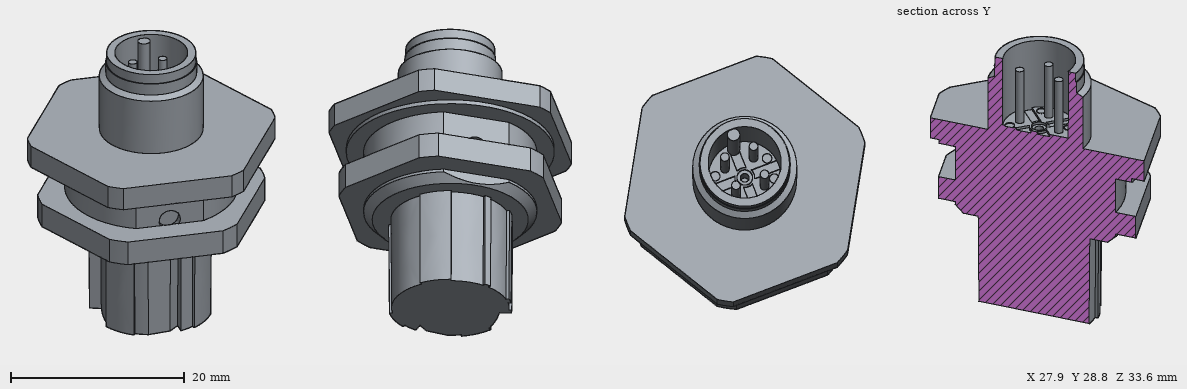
import cadquery as cq
import math


INSERT_LENGTH = 11.5
BODY_CHAMFER = 1.0
NUT_BOTTOM = 12.85
NUT_HEIGHT = 3.0
FLANGE_BOTTOM = 20.8
FLANGE_HEIGHT = 2.8
COLLAR_HEIGHT = 0.5
FLANGE_TOP = FLANGE_BOTTOM + FLANGE_HEIGHT
TOWER_HEIGHT = 10.0
TOP = FLANGE_TOP + TOWER_HEIGHT

KEY_ANGLE = 130.2
HEX_FLAT_ANGLE = KEY_ANGLE

HEX_SIDES = 6
HEX_CORNER_STEP = 360 / HEX_SIDES
FLANGE_ACROSS_FLATS = 26.0
FLANGE_CORNER_RADIUS = 14.5
NUT_ACROSS_FLATS = 24.0
NUT_CORNER_RADIUS = 13.25

BODY_RADIUS = 10.0
COLLAR_RADIUS = 12.0
BODY_FLAT_DISTANCE = 9.17
NUT_BORE_RADIUS = BODY_FLAT_DISTANCE
DIMPLE_RADIUS = 1.25
DIMPLE_DEPTH = 1.0
DIMPLE_Z = 16.45

BARREL_RADIUS = 6.0
RING_RADIUS = 5.25
RIM_RADIUS = 5.15
RIM_HEIGHT = 1.2
RING_HEIGHT = 1.45
BEVEL_HEIGHT = 0.4

BORE_RADIUS = 4.2
BORE_DEPTH = 9.0
FLOOR_Z = TOP - BORE_DEPTH
PIN_RADIUS = 0.5
PIN_CIRCLE_RADIUS = 2.5
PIN_COUNT = 4
PIN_TOP_BELOW_RIM = 2.0
PIN_STEP = 360 / PIN_COUNT
FIRST_PIN_ANGLE = KEY_ANGLE - PIN_STEP / 2
KEY_RADIUS = 0.72
KEY_CENTRE_RADIUS = 3.58
KEY_TOP_BELOW_RIM = 0.45
GROOVE_WIDTH = 1.1
GROOVE_DEPTH = 0.3
HUB_RADIUS = 1.15
HUB_RECESS_RADIUS = 0.9
HUB_HOLE_RADIUS = 0.5
HUB_HOLE_DEPTH = 3.0
MARK_RADIUS = 0.55
MARK_DEPTH = 0.1
MARK_CIRCLE_RADIUS = 3.41
MARK_OFFSETS = (-25.0, 21.7, 21.7, 21.7)

CORE_RADIUS = 6.78
TOOTH_RADIUS = 7.13
TOOTH_TOP_RADIUS = 7.21
INSERT_TOP_SCALE = TOOTH_TOP_RADIUS / TOOTH_RADIUS
LOBE_START_RADIUS = 5.8
LOBE_MID_RADIUS = 6.15
WIDE_TOOTH_SPAN = 30.0
BACK_TOOTH_END = 112.0
NARROW_TEETH = ((145.0, 151.7), (182.5, 191.0), (205.0, 211.3))
FRONT_TOOTH = (250.0, 280.5)
LOBE_START_ANGLE = 213.5
LOBE_MID_ANGLE = 233.0
FLAT_START = 293.8
SLOT_NEAR_EDGE = (4.6, -4.3)
SLOT_FLOOR = (4.81, -2.8)
SLOT_FAR_ANGLE = 327.0
SIDE_TOOTH_START = 341.0


def polar(radius, angle):
    """Point at a radius and an angle in degrees."""
    return (radius * math.cos(math.radians(angle)), radius * math.sin(math.radians(angle)))


def cylinder(radius, bottom, top):
    return cq.Workplane("XY").workplane(offset=bottom).circle(radius).extrude(top - bottom)


def hex_plate(across_flats, corner_radius, bottom, height):
    """Hexagonal plate whose corners are trimmed to a cylinder."""
    circumscribed_diameter = across_flats / math.cos(math.pi / HEX_SIDES)
    plate = (
        cq.Workplane("XY")
        .workplane(offset=bottom)
        .polygon(HEX_SIDES, circumscribed_diameter)
        .extrude(height)
        .rotate((0, 0, 0), (0, 0, 1), HEX_FLAT_ANGLE + HEX_CORNER_STEP / 2)
    )
    return plate.intersect(cylinder(corner_radius, bottom, bottom + height))


def arc(profile, radius, start, end):
    """Step to a concentric arc and follow it counter-clockwise."""
    stepped = profile.lineTo(*polar(radius, start))
    return stepped.threePointArc(polar(radius, (start + end) / 2), polar(radius, end))


def insert_wire(scale, z):
    """Insert outline at height z, counter-clockwise from the tooth on the +X side."""
    side_tooth_end = SIDE_TOOTH_START + WIDE_TOOTH_SPAN - 360
    back_tooth_start = BACK_TOOTH_END - WIDE_TOOTH_SPAN
    profile = cq.Workplane("XY").moveTo(*polar(TOOTH_RADIUS, SIDE_TOOTH_START - 360))
    profile = profile.threePointArc(polar(TOOTH_RADIUS, 0), polar(TOOTH_RADIUS, side_tooth_end))
    teeth = ((back_tooth_start, BACK_TOOTH_END),) + NARROW_TEETH
    core_start = side_tooth_end
    for tooth_start, tooth_end in teeth:
        profile = arc(profile, CORE_RADIUS, core_start, tooth_start)
        profile = arc(profile, TOOTH_RADIUS, tooth_start, tooth_end)
        core_start = tooth_end
    front_start, front_end = FRONT_TOOTH
    profile = profile.lineTo(*polar(LOBE_START_RADIUS, LOBE_START_ANGLE))
    profile = profile.threePointArc(polar(LOBE_MID_RADIUS, LOBE_MID_ANGLE), polar(CORE_RADIUS, front_start))
    profile = arc(profile, TOOTH_RADIUS, front_start, front_end)
    profile = arc(profile, CORE_RADIUS, front_end, FLAT_START)
    profile = profile.lineTo(*SLOT_NEAR_EDGE).lineTo(*SLOT_FLOOR)
    profile = arc(profile, CORE_RADIUS, SLOT_FAR_ANGLE, SIDE_TOOTH_START)
    return profile.close().val().scale(scale).translate(cq.Vector(0, 0, z))


def insert():
    wires = [insert_wire(1.0, 0), insert_wire(INSERT_TOP_SCALE, INSERT_LENGTH)]
    return cq.Workplane(cq.Solid.makeLoft(wires, True))


def body():
    """Round body with a chamfered lower end, two opposite flats and a dimple in each flat."""
    stock = cylinder(BODY_RADIUS, INSERT_LENGTH, FLANGE_BOTTOM)
    stock = stock.faces("<Z").chamfer(BODY_CHAMFER)
    height = FLANGE_BOTTOM - INSERT_LENGTH
    slab = (
        cq.Workplane("XY")
        .workplane(offset=INSERT_LENGTH)
        .rect(2 * BODY_FLAT_DISTANCE, 2 * BODY_RADIUS)
        .extrude(height)
    )
    dimple_floor = BODY_FLAT_DISTANCE - DIMPLE_DEPTH
    for side in (-1, 1):
        dimple = (
            cq.Workplane("YZ")
            .workplane(offset=side * dimple_floor)
            .center(0, DIMPLE_Z)
            .circle(DIMPLE_RADIUS)
            .extrude(side * BODY_RADIUS)
        )
        slab = slab.cut(dimple)
    return stock.intersect(slab.rotate((0, 0, 0), (0, 0, 1), KEY_ANGLE))


def tower():
    ring_top = TOP - RIM_HEIGHT
    bevel_top = ring_top - RING_HEIGHT
    barrel_top = bevel_top - BEVEL_HEIGHT
    half_section = [
        (0, FLANGE_TOP),
        (BARREL_RADIUS, FLANGE_TOP),
        (BARREL_RADIUS, barrel_top),
        (RING_RADIUS, bevel_top),
        (RING_RADIUS, ring_top),
        (RIM_RADIUS, ring_top),
        (RIM_RADIUS, TOP),
        (0, TOP),
    ]
    solid = cq.Workplane("XZ").polyline(half_section).close().revolve(360, (0, 0), (0, 1))
    return solid.cut(cylinder(BORE_RADIUS, FLOOR_Z, TOP))


def floor_cuts():
    """Cross grooves around a hub, the hub's counterbored hole and a shallow dot beside each pin."""
    groove_bottom = FLOOR_Z - GROOVE_DEPTH
    floor_plane = cq.Workplane("XY").workplane(offset=groove_bottom)
    bar = floor_plane.rect(2 * BORE_RADIUS, GROOVE_WIDTH).extrude(GROOVE_DEPTH)
    cross = bar.union(bar.rotate((0, 0, 0), (0, 0, 1), 90))
    cross = cross.rotate((0, 0, 0), (0, 0, 1), KEY_ANGLE)
    cross = cross.intersect(cylinder(BORE_RADIUS, groove_bottom, FLOOR_Z))
    cuts = cross.cut(cylinder(HUB_RADIUS, groove_bottom, FLOOR_Z))
    cuts = cuts.union(cylinder(HUB_RECESS_RADIUS, groove_bottom, FLOOR_Z))
    cuts = cuts.union(cylinder(HUB_HOLE_RADIUS, FLOOR_Z - HUB_HOLE_DEPTH, FLOOR_Z))
    for index, offset in enumerate(MARK_OFFSETS):
        angle = FIRST_PIN_ANGLE - index * PIN_STEP + offset
        x, y = polar(MARK_CIRCLE_RADIUS, angle)
        cuts = cuts.union(cylinder(MARK_RADIUS, FLOOR_Z - MARK_DEPTH, FLOOR_Z).translate((x, y, 0)))
    return cuts


def pins_and_key():
    pin = cylinder(PIN_RADIUS, FLOOR_Z - GROOVE_DEPTH, TOP - PIN_TOP_BELOW_RIM)
    key = cylinder(KEY_RADIUS, FLOOR_Z - GROOVE_DEPTH, TOP - KEY_TOP_BELOW_RIM)
    posts = key.translate((*polar(KEY_CENTRE_RADIUS, KEY_ANGLE), 0))
    for index in range(PIN_COUNT):
        x, y = polar(PIN_CIRCLE_RADIUS, FIRST_PIN_ANGLE - index * PIN_STEP)
        posts = posts.union(pin.translate((x, y, 0)))
    return posts


flange = hex_plate(FLANGE_ACROSS_FLATS, FLANGE_CORNER_RADIUS, FLANGE_BOTTOM, FLANGE_HEIGHT)
nut = hex_plate(NUT_ACROSS_FLATS, NUT_CORNER_RADIUS, NUT_BOTTOM, NUT_HEIGHT)
nut = nut.cut(cylinder(NUT_BORE_RADIUS, NUT_BOTTOM, NUT_BOTTOM + NUT_HEIGHT))
collar = cylinder(COLLAR_RADIUS, FLANGE_BOTTOM - COLLAR_HEIGHT, FLANGE_BOTTOM)

result = (
    insert()
    .union(body())
    .union(nut)
    .union(collar)
    .union(flange)
    .union(tower())
    .cut(floor_cuts())
    .union(pins_and_key())
)